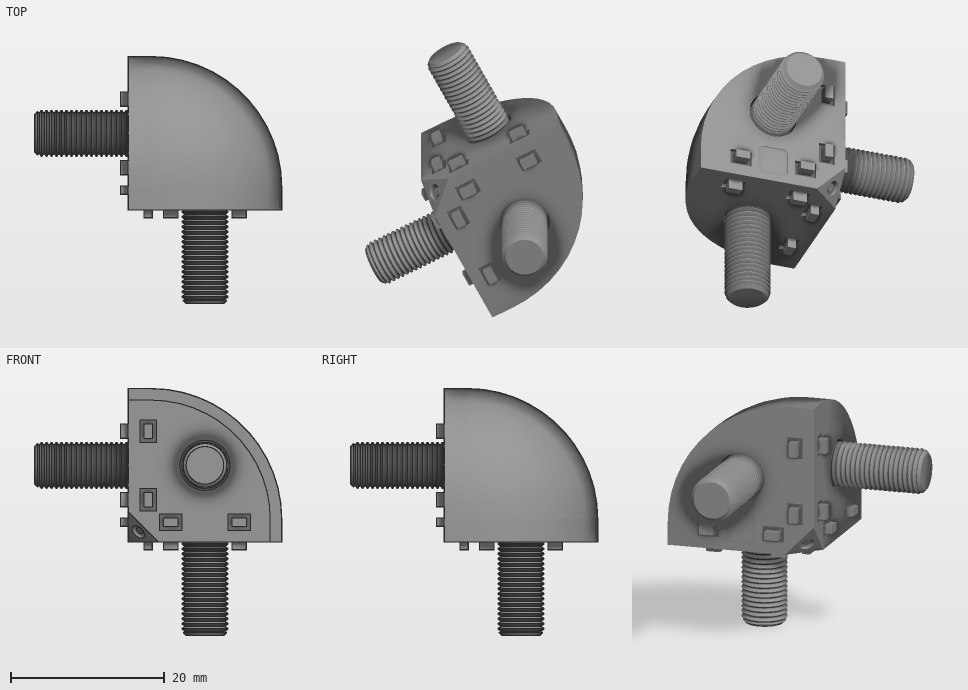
import cadquery as cq
import math

overall_size = 32.18
block_size = 20.0
outer_radius = 17.02
shell_thickness = 1.5
core_size = block_size - shell_thickness
core_radius = outer_radius - shell_thickness

rod_center = block_size / 2
rod_reach = overall_size - block_size
rod_hole_diameter = 6.5
rod_hole_depth = 6.0
thread_radius = 6.0 / 2
root_radius = 2.65
thread_pitch = 0.65
crest_width = 0.08
thread_flank = 0.25
first_crest = 0.9
tip_radius = 2.45
tip_chamfer = 0.4

tab_length = 1.9
tab_width = 1.1
tab_height = 1.0
tab_clearance = 0.5
tab_pocket_depth = 0.5
tab_row_offset = 2.6
tab_half_spacing = 4.457

corner_leg = 4.0
corner_hole_diameter = 2.0
corner_hole_depth = 1.0
corner_post_radius = 0.5
corner_post_sink = 0.32

recess_size = 4.02
recess_corner_radius = 0.6
recess_depth = 0.1
recess_height = 3.0


def on_three_faces(feature):
    """Copies of a feature of the -Z face, turned onto the -X and -Y faces as well."""
    return [feature.rotate((0, 0, 0), (1, 1, 1), angle) for angle in (0, 120, 240)]


def rounded_block(size, radius):
    """A cube on the origin with the three edges that meet at its far corner rounded."""
    cube = cq.Workplane("XY").box(size, size, size, centered=False)
    far_edges = cube.edges("(>X and >Y) or (>X and >Z) or (>Y and >Z)")
    return far_edges.fillet(radius)


def tab_blocks(length, width, bottom, height):
    """Four upright blocks at the tab places of the -Z face: two along X and two along Y."""
    spots = [rod_center - tab_half_spacing, rod_center + tab_half_spacing]
    base = cq.Workplane("XY", origin=(0, 0, bottom))
    blocks = base.pushPoints([(spot, tab_row_offset) for spot in spots]).rect(length, width).extrude(height)
    blocks = blocks.pushPoints([(tab_row_offset, spot) for spot in spots]).rect(width, length)
    return blocks.extrude(height)


def make_shell():
    return rounded_block(block_size, outer_radius).cut(rounded_block(core_size, core_radius))


def cut_rod_holes(core):
    hole = cq.Workplane("XY").center(rod_center, rod_center)
    hole = hole.circle(rod_hole_diameter / 2).extrude(rod_hole_depth)
    for face_hole in on_three_faces(hole):
        core = core.cut(face_hole)
    return core


def add_tabs(core):
    pocket_length = tab_length + 2 * tab_clearance
    pocket_width = tab_width + 2 * tab_clearance
    pockets = tab_blocks(pocket_length, pocket_width, 0, tab_pocket_depth)
    for face_pockets in on_three_faces(pockets):
        core = core.cut(face_pockets)
    tabs = tab_blocks(tab_length, tab_width, -tab_height, tab_height + tab_pocket_depth)
    for face_tabs in on_three_faces(tabs):
        core = core.union(face_tabs)
    return core


def cut_corner(core):
    """Cut the corner at the origin off at equal legs and sink a ring into the cut, around a post."""
    middle = corner_leg / 3
    outward = cq.Plane(origin=(middle, middle, middle), xDir=(1, -1, 0), normal=(-1, -1, -1))
    cut_face = cq.Workplane(outward)
    corner = cut_face.rect(2 * corner_leg, 2 * corner_leg).extrude(corner_leg)
    hole = cut_face.circle(corner_hole_diameter / 2).extrude(-corner_hole_depth)
    post = cut_face.workplane(offset=-corner_hole_depth).circle(corner_post_radius)
    post = post.extrude(corner_hole_depth - corner_post_sink)
    return core.cut(corner).cut(hole.cut(post))


def cut_recess(core):
    recess = cq.Workplane("YZ").center(rod_center, recess_height).rect(recess_size, recess_size)
    recess = recess.extrude(recess_depth).edges("|X").fillet(recess_corner_radius)
    return core.cut(recess)


def make_core():
    core = rounded_block(core_size, core_radius)
    core = cut_rod_holes(core)
    core = add_tabs(core)
    core = cut_corner(core)
    return cut_recess(core)


def make_rod():
    """The rod of the -Z face, turned from a half profile with a row of ridges."""
    rod_bottom = -rod_reach
    rod_top = rod_hole_depth
    ridge_count = math.floor((rod_top - rod_bottom - first_crest) / thread_pitch)
    cut_ridge_end = rod_bottom + first_crest - thread_pitch + crest_width / 2 + thread_flank
    profile = [
        (0, rod_bottom),
        (tip_radius, rod_bottom),
        (tip_radius + tip_chamfer, rod_bottom + tip_chamfer),
        (root_radius, cut_ridge_end),
    ]
    for ridge in range(ridge_count):
        crest = rod_bottom + first_crest + ridge * thread_pitch
        profile += [
            (root_radius, crest - crest_width / 2 - thread_flank),
            (thread_radius, crest - crest_width / 2),
            (thread_radius, crest + crest_width / 2),
            (root_radius, crest + crest_width / 2 + thread_flank),
        ]
    profile += [(root_radius, rod_top), (0, rod_top)]
    rod = cq.Workplane("XZ").polyline(profile).close().revolve(360, (0, 0), (0, 1))
    return rod.translate((rod_center, rod_center, 0))


shell = make_shell()
core = make_core()
rods = on_three_faces(make_rod())

result = cq.Compound.makeCompound([shell.val(), core.val(), *[rod.val() for rod in rods]])